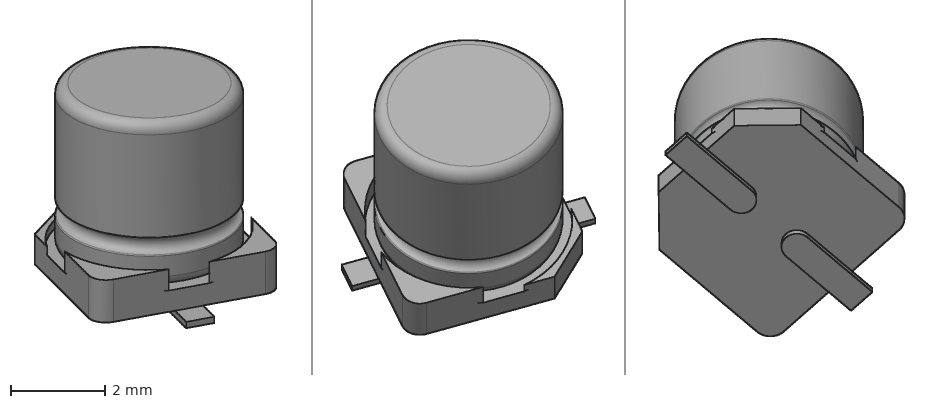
import cadquery as cq


LEAD_SPAN = 5.5
LEAD_GAP = 1.0
LEAD_WIDTH = 0.65
LEAD_THICKNESS = 0.15

BASE_SIDE = 4.3
BASE_CHAMFER = 1.0
BASE_CORNER_RADIUS = 0.4
FLOOR_HEIGHT = 0.5
LOW_WALL_HEIGHT = 0.7
HIGH_WALL_HEIGHT = 1.0
RECESS_RADIUS = 2.2

CAN_RADIUS = 2.0
TOTAL_HEIGHT = 4.5
CAN_TOP_FILLET = 0.27
CAN_BOTTOM_FILLET = 0.25
GROOVE_RADIUS = 0.2
GROOVE_CENTER_Z = 1.605
GROOVE_LIP_RADIUS = 0.025

BASE_BOTTOM_Z = LEAD_THICKNESS
CAN_BOTTOM_Z = BASE_BOTTOM_Z + FLOOR_HEIGHT


def make_base():
    """Square plate, chamfered at -X and rounded at +X, with a round recess."""
    half_side = BASE_SIDE / 2
    base = (
        cq.Workplane("XY", origin=(0, 0, BASE_BOTTOM_Z))
        .box(BASE_SIDE, BASE_SIDE, HIGH_WALL_HEIGHT, centered=(True, True, False))
        .edges("|Z and <X")
        .chamfer(BASE_CHAMFER)
        .edges("|Z and >X")
        .fillet(BASE_CORNER_RADIUS)
    )
    above_low_wall = (
        cq.Workplane("XY", origin=(-half_side / 2, 0, BASE_BOTTOM_Z + LOW_WALL_HEIGHT))
        .box(half_side, BASE_SIDE, HIGH_WALL_HEIGHT, centered=(True, True, False))
    )
    recess = (
        cq.Workplane("XY", origin=(0, 0, CAN_BOTTOM_Z))
        .circle(RECESS_RADIUS)
        .extrude(HIGH_WALL_HEIGHT)
    )
    return base.cut(above_low_wall).cut(recess)


def make_can():
    """Cylinder with rounded ends and a round groove rolled into its wall."""
    cylinder = (
        cq.Workplane("XY", origin=(0, 0, CAN_BOTTOM_Z))
        .circle(CAN_RADIUS)
        .extrude(TOTAL_HEIGHT - CAN_BOTTOM_Z)
    )
    groove_ring = cq.Workplane(
        cq.Solid.makeTorus(CAN_RADIUS, GROOVE_RADIUS, cq.Vector(0, 0, GROOVE_CENTER_Z))
    )
    grooved_can = (
        cylinder.cut(groove_ring)
        .faces("%TORUS")
        .edges("%CIRCLE and (not #Z)")
        .fillet(GROOVE_LIP_RADIUS)
    )
    return (
        grooved_can.faces(">Z")
        .edges()
        .fillet(CAN_TOP_FILLET)
        .faces("<Z")
        .edges()
        .fillet(CAN_BOTTOM_FILLET)
    )


def make_lead(side):
    """Flat lead toward side (+1 or -1) along X, with a fully rounded inner end."""
    round_center_x = LEAD_GAP / 2 + LEAD_WIDTH / 2
    straight_length = LEAD_SPAN / 2 - round_center_x
    bar = (
        cq.Workplane("XY", origin=(side * (round_center_x + straight_length / 2), 0, 0))
        .rect(straight_length, LEAD_WIDTH)
        .extrude(LEAD_THICKNESS)
    )
    inner_end = (
        cq.Workplane("XY", origin=(side * round_center_x, 0, 0))
        .circle(LEAD_WIDTH / 2)
        .extrude(LEAD_THICKNESS)
    )
    return bar.union(inner_end)


result = make_base().union(make_can())
for lead_side in (-1, 1):
    result = result.union(make_lead(lead_side))